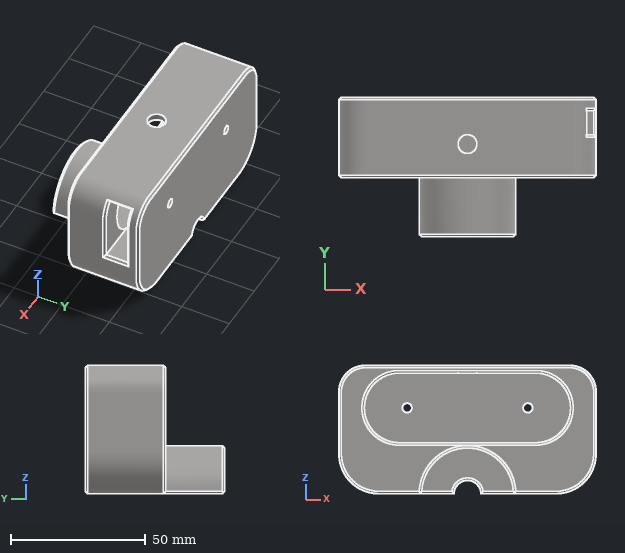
import cadquery as cq

length = 96.0
height = 48.0
depth = 30.0
top_radius = 10.0
bottom_radius = 15.0
edge_chamfer = 1.0
front_y = -depth / 2
back_y = depth / 2
half_length = length / 2

back_wall = 5.0
top_wall = 3.0
cavity_radius = 13.0
cavity_straight = 51.0
cavity_z = height - top_wall - cavity_radius
cavity_depth = depth - back_wall
cavity_length = cavity_straight + 2 * cavity_radius

boss_radius = 18.0
boss_length = 22.0
bore_radius = 5.0
total_depth = depth + boss_length

screw_hole_diameter = 3.5
screw_hole_spacing = 45.0
top_hole_diameter = 7.0
top_hole_y = back_y - 17.5

window_width = 9.0
window_height = 25.0
window_top = height - top_wall
window_y = back_y - back_wall - window_width / 2


def front_plane(y):
    """Plane facing -Y, with its origin on the bottom centre line."""
    return cq.Workplane("XZ", origin=(0, y, 0))


def make_body():
    body = cq.Workplane("XY").box(length, depth, height, centered=(True, True, False))
    body = body.edges("|Y and >Z").fillet(top_radius)
    body = body.edges("|Y and <Z").fillet(bottom_radius)
    return body.faces("<Y or >Y").chamfer(edge_chamfer)


def make_boss_bevel(side):
    """Wedge that bevels a lower outer edge of the boss."""
    return (
        front_plane(front_y + edge_chamfer)
        .moveTo(side * boss_radius, 0)
        .lineTo(side * (boss_radius - edge_chamfer), 0)
        .lineTo(side * boss_radius, edge_chamfer)
        .close()
        .extrude(boss_length + edge_chamfer)
    )


def make_boss():
    boss = (
        front_plane(front_y)
        .moveTo(-boss_radius, 0)
        .threePointArc((0, boss_radius), (boss_radius, 0))
        .lineTo(bore_radius, 0)
        .threePointArc((0, bore_radius), (-bore_radius, 0))
        .close()
        .extrude(boss_length)
        .faces("<Y")
        .chamfer(edge_chamfer)
    )
    root = (
        front_plane(front_y + edge_chamfer)
        .moveTo(-boss_radius, 0)
        .threePointArc((0, boss_radius), (boss_radius, 0))
        .close()
        .extrude(edge_chamfer)
    )
    boss = boss.union(root)
    return boss.cut(make_boss_bevel(1)).cut(make_boss_bevel(-1))


def make_cavity():
    cavity = (
        front_plane(front_y + cavity_depth)
        .center(0, cavity_z)
        .slot2D(cavity_length, 2 * cavity_radius)
        .extrude(cavity_depth)
    )
    mouth = (
        front_plane(front_y)
        .center(0, cavity_z)
        .slot2D(cavity_length + 2 * edge_chamfer, 2 * (cavity_radius + edge_chamfer))
        .extrude(-edge_chamfer, taper=45)
    )
    return cavity.union(mouth)


def cut_window(part):
    rim_reach_y = window_width / 2 + edge_chamfer
    window = cq.Workplane("XY").box(half_length, window_width, window_height, centered=(False, True, False))
    part = part.cut(window.translate((cavity_straight / 2, window_y, window_top - window_height)))
    rim = cq.selectors.BoxSelector(
        (cavity_length / 2, window_y - rim_reach_y, window_top - window_height - edge_chamfer),
        (length, window_y + rim_reach_y, window_top + edge_chamfer),
    )
    return part.edges(rim).edges("not |X").chamfer(edge_chamfer)


def cut_holes(part):
    bore = front_plane(back_y).circle(bore_radius).extrude(total_depth)
    screw_holes = (
        front_plane(back_y)
        .center(0, cavity_z)
        .rarray(screw_hole_spacing, 1, 2, 1)
        .circle(screw_hole_diameter / 2)
        .extrude(depth)
    )
    top_hole = (
        cq.Workplane("XY", origin=(0, top_hole_y, height))
        .circle(top_hole_diameter / 2)
        .extrude(-2 * top_wall)
    )
    return part.cut(bore).cut(screw_holes).cut(top_hole)


result = make_body().union(make_boss()).cut(make_cavity())
result = cut_holes(cut_window(result))